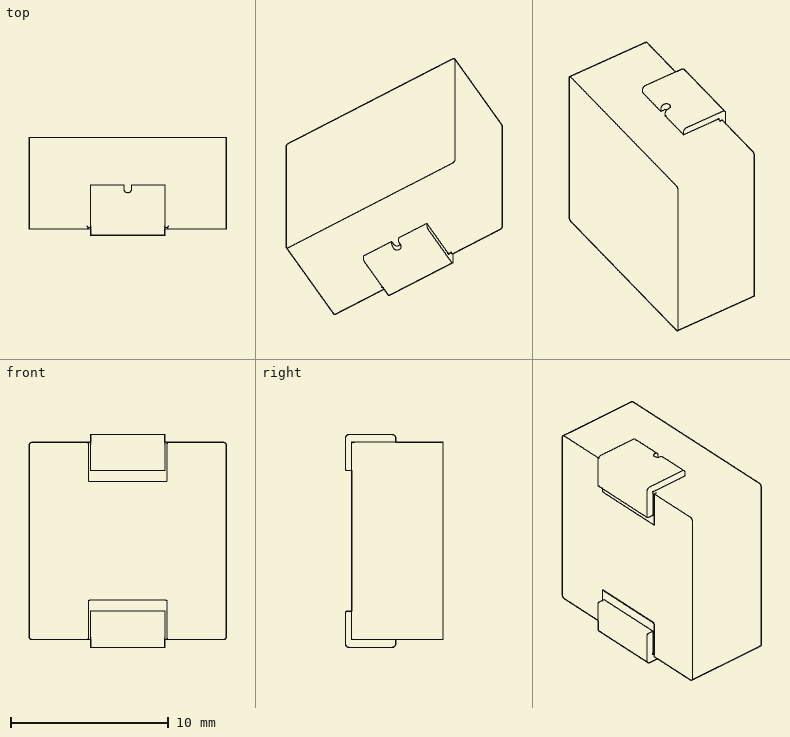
import cadquery as cq

BODY_SIDE = 12.5
BODY_DEPTH = 5.8
BODY_CORNER_RADIUS = 0.2
HALF_SIDE = BODY_SIDE / 2

TERMINAL_WIDTH = 4.7
TERMINAL_THICKNESS = 0.5
PAD_STANDOFF = 0.4
PAD_LENGTH = 2.3
SIDE_ARM_LENGTH = 3.2
BEND_RADIUS = 0.25
PAD_TIP_RADIUS = 0.1
NOTCH_WIDTH = 0.5
NOTCH_DEPTH = 0.5

RECESS_WIDTH = 5.0
RECESS_LENGTH = 2.5
RECESS_DEPTH = TERMINAL_THICKNESS - PAD_STANDOFF
RECESS_CORNER_RADIUS = 0.1
RECESS_RIM_RADIUS = 0.099
RIM_SEARCH_MARGIN = 0.1

TOP = 1
BOTTOM = -1


def make_body():
    """Square block with its four corners along Y rounded."""
    block = cq.Workplane("XY").box(BODY_SIDE, BODY_DEPTH, BODY_SIDE, centered=(True, False, True))
    return block.edges("|Y").fillet(BODY_CORNER_RADIUS)


def cut_recess(body, side):
    """Cut a recess open through the TOP or BOTTOM side and round its rim on both open faces."""
    cutter = (
        cq.Workplane("XY")
        .box(RECESS_WIDTH, 2 * RECESS_DEPTH, 2 * RECESS_LENGTH)
        .edges("|Y")
        .fillet(RECESS_CORNER_RADIUS)
        .translate((0, 0, side * HALF_SIDE))
    )
    recessed = body.cut(cutter)

    reach_x = RECESS_WIDTH / 2 + RIM_SEARCH_MARGIN
    reach_y = RECESS_DEPTH + RIM_SEARCH_MARGIN
    inner_z = side * (HALF_SIDE - RECESS_LENGTH - RIM_SEARCH_MARGIN)
    outer_z = side * (HALF_SIDE + RIM_SEARCH_MARGIN)
    around_recess = cq.selectors.BoxSelector(
        (-reach_x, -reach_y, inner_z),
        (reach_x, reach_y, outer_z),
    )
    pad_face_rim = recessed.faces("<Y").edges(around_recess).vals()
    end_face = recessed.faces(">Z" if side == TOP else "<Z")
    end_face_rim = end_face.edges(around_recess).vals()
    return recessed.newObject(pad_face_rim + end_face_rim).fillet(RECESS_RIM_RADIUS)


def make_terminal():
    """Upper terminal: pad on the recess floor, side arm along the top with a notch in its end."""
    pad_outer_y = -PAD_STANDOFF
    pad_inner_y = pad_outer_y + TERMINAL_THICKNESS
    arm_end_y = pad_outer_y + SIDE_ARM_LENGTH
    arm_outer_z = HALF_SIDE + TERMINAL_THICKNESS
    pad_tip_z = arm_outer_z - PAD_LENGTH
    terminal = (
        cq.Workplane("YZ")
        .polyline([
            (pad_outer_y, pad_tip_z),
            (pad_outer_y, arm_outer_z),
            (arm_end_y, arm_outer_z),
            (arm_end_y, HALF_SIDE),
            (pad_inner_y, HALF_SIDE),
            (pad_inner_y, pad_tip_z),
        ])
        .close()
        .extrude(TERMINAL_WIDTH / 2, both=True)
    )
    terminal = terminal.faces(">Z").edges("|X").fillet(BEND_RADIUS)
    terminal = terminal.faces("<Y").edges("<Z").fillet(PAD_TIP_RADIUS)

    notch = (
        cq.Workplane("XY", origin=(0, arm_end_y, HALF_SIDE))
        .slot2D(2 * NOTCH_DEPTH, NOTCH_WIDTH, 90)
        .extrude(TERMINAL_THICKNESS)
    )
    return terminal.cut(notch)


body = make_body()
for side in (TOP, BOTTOM):
    body = cut_recess(body, side)

upper_terminal = make_terminal()
lower_terminal = upper_terminal.mirror("XY")
result = body.union(upper_terminal).union(lower_terminal)